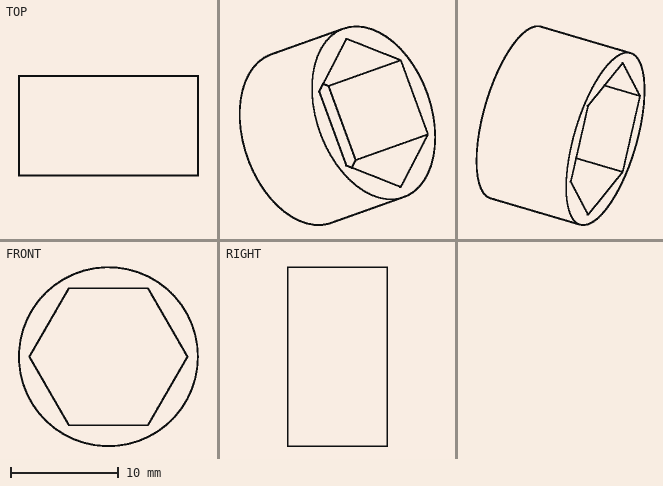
import cadquery as cq
import math

outer_diameter = 16.64
length = 9.27
hex_across_flats = 12.7
hex_across_corners = hex_across_flats / math.cos(math.pi / 6)

result = (
    cq.Workplane("XZ")
    .circle(outer_diameter / 2)
    .polygon(6, hex_across_corners)
    .extrude(length)
)